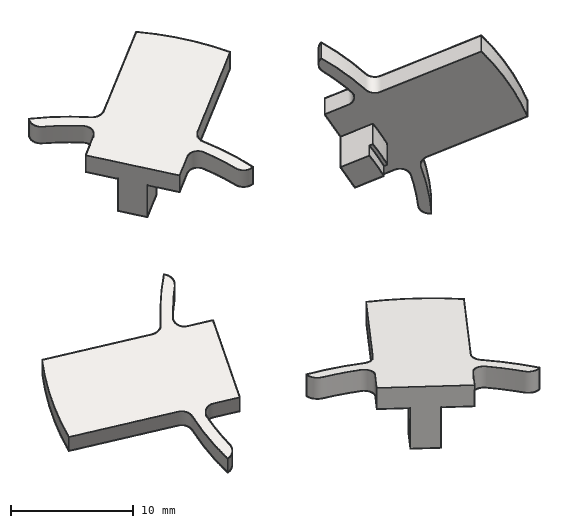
import cadquery as cq
import math

TURN = -45.0

plate_thickness = 1.99
body_width = 7.98
body_length = 14.45
head_radius = 23.83

ring_center_x = 17.78
ring_center_y = -0.063
wing_outer_radius = 22.5
wing_thickness = 1.03
wing_half_span = 9.51
tip_fillet = 1.0
head_side_fillet = 1.0
end_side_fillet = 0.9

post_width = 2.5
post_length = 3.0
post_height = 3.77
step_height = 1.25
step_depth = 0.32

wing_inner_radius = wing_outer_radius - wing_thickness
tip_angle = math.asin(wing_half_span / wing_outer_radius)


def round_backed_block(length, width, back_radius, bottom, height):
    """Block with a flat face at X = 0 and a convex arc as its far face."""
    half = width / 2
    bulge = back_radius - math.sqrt(back_radius**2 - half**2)
    return (
        cq.Workplane("XY")
        .workplane(offset=bottom)
        .moveTo(0, -half)
        .lineTo(0, half)
        .lineTo(-length, half)
        .threePointArc((-length - bulge, 0), (-length, -half))
        .close()
        .extrude(height)
    )


def ring_point(radius, angle):
    x = ring_center_x - radius * math.cos(angle)
    y = ring_center_y + radius * math.sin(angle)
    return (x, y)


def make_wings():
    """Both wings as one arched strip, rounded at the inner tip edges."""
    strip = (
        cq.Workplane("XY")
        .moveTo(*ring_point(wing_outer_radius, -tip_angle))
        .threePointArc(ring_point(wing_outer_radius, 0), ring_point(wing_outer_radius, tip_angle))
        .lineTo(*ring_point(wing_inner_radius, tip_angle))
        .threePointArc(ring_point(wing_inner_radius, 0), ring_point(wing_inner_radius, -tip_angle))
        .close()
        .extrude(plate_thickness)
    )
    for side in (-1, 1):
        corner = (*ring_point(wing_inner_radius, side * tip_angle), plate_thickness / 2)
        strip = strip.edges(cq.NearestToPointSelector(corner)).fillet(tip_fillet)
    return strip


def blend_wing_roots(plate, wing_radius, fillet_radius):
    """Fillet the vertical edges where a wing face meets the body sides."""
    half = body_width / 2
    for side in (-1, 1):
        root_y = side * half
        root_x = ring_center_x - math.sqrt(wing_radius**2 - (root_y - ring_center_y) ** 2)
        root = (root_x, root_y, plate_thickness / 2)
        plate = plate.edges(cq.NearestToPointSelector(root)).fillet(fillet_radius)
    return plate


def make_plate():
    body = round_backed_block(body_length, body_width, head_radius, 0, plate_thickness)
    plate = body.union(make_wings())
    plate = blend_wing_roots(plate, wing_outer_radius, head_side_fillet)
    return blend_wing_roots(plate, wing_inner_radius, end_side_fillet)


def make_post():
    """Post whose convex back face steps in at the foot."""
    back_radius = math.hypot(ring_center_x + post_length, post_width / 2)
    upper = round_backed_block(
        post_length, post_width, back_radius, step_height - post_height, post_height - step_height
    )
    foot = round_backed_block(
        post_length - step_depth, post_width, back_radius - step_depth, -post_height, step_height
    )
    return upper.union(foot)


result = make_plate().union(make_post()).rotate((0, 0, 0), (0, 0, 1), TURN)